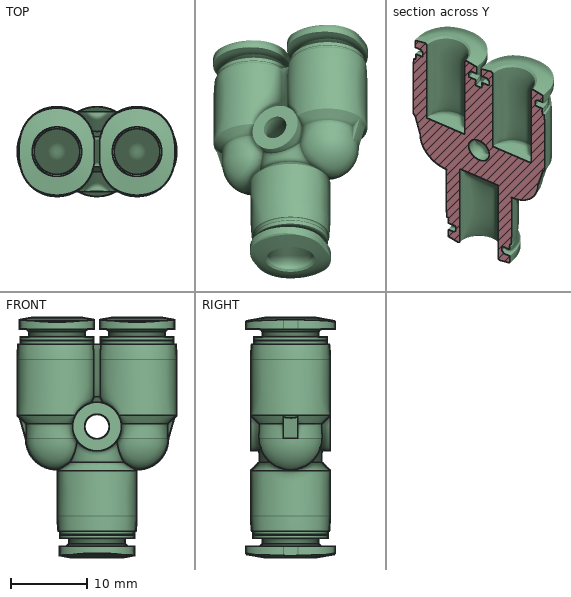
import cadquery as cq
import math

height = 31.6
overall_width = 21.0
body_diameter = 10.5
body_radius = body_diameter / 2
port_offset = (overall_width - body_diameter) / 2

bore_diameter = 6.0
bore_depth = 12.65
bore_chamfer = 0.25
collar_width = 9.85
collar_length = 11.8
collar_back = 1.55
collar_face_drop = 0.45
rim_chamfer = 0.2
neck_diameter = 7.4
neck_radius = neck_diameter / 2
neck_flare = 0.32
neck_end = 2.55

upper_ring_diameter = 9.67
lower_ring_diameter = 9.85
ring_groove_start = 3.0
ring_groove_end = 3.1
ring_groove_depth = 0.1
barrel_start = 3.5
barrel_crown_end = 5.53
barrel_end_radius = 5.12
upper_barrel_end = 12.9

stem_radius = 4.15
shoulder = body_radius - stem_radius
dome_centre_z = 15.7
lower_barrel_end = 11.47

boss_diameter = 6.4
boss_length = body_diameter
hole_diameter = 3.2
boss_z = 17.25

web_thickness = 3.92
web_flare = 0.85
web_flare_top = 21.13
rib_width = 1.95
rib_top_x = 10.27
rib_top_z = 18.7


def collar():
    """Oval collar with a conical face, chamfered rim ends and a flared neck, mouth at z = 0."""
    oval = (
        cq.Workplane("XY")
        .slot2D(collar_length, collar_width, 90)
        .extrude(collar_back)
    )
    half_length = collar_length / 2
    face = (
        cq.Workplane("XZ")
        .polyline([
            (0, 0),
            (bore_diameter / 2 + bore_chamfer, 0),
            (half_length - rim_chamfer, collar_face_drop),
            (half_length, collar_face_drop + rim_chamfer),
            (half_length, collar_back),
            (0, collar_back),
        ])
        .close()
        .revolve(360, (0, 0), (0, 1))
    )
    neck = (
        cq.Workplane("XZ")
        .moveTo(0, collar_back)
        .lineTo(neck_radius + neck_flare, collar_back)
        .lineTo(neck_radius, collar_back + neck_flare)
        .lineTo(neck_radius, neck_end)
        .lineTo(0, neck_end)
        .close()
        .revolve(360, (0, 0), (0, 1))
    )
    return oval.intersect(face).union(neck)


def barrel(ring_diameter, barrel_end):
    """Grooved ring, crowned barrel and 45 degree shoulder down to the stem radius."""
    ring_radius = ring_diameter / 2
    groove_radius = ring_radius - ring_groove_depth
    crown_length = barrel_crown_end - barrel_start
    crown_drop = body_radius - barrel_end_radius
    crown_radius = (crown_length**2 + crown_drop**2) / (2 * crown_drop)
    half_length = crown_length / 2
    mid_radius = body_radius - crown_radius + math.sqrt(crown_radius**2 - half_length**2)
    return (
        cq.Workplane("XZ")
        .moveTo(0, neck_end)
        .lineTo(ring_radius, neck_end)
        .lineTo(ring_radius, ring_groove_start)
        .lineTo(groove_radius, ring_groove_start)
        .lineTo(groove_radius, ring_groove_end)
        .lineTo(ring_radius, ring_groove_end)
        .lineTo(ring_radius, barrel_start)
        .lineTo(barrel_end_radius, barrel_start)
        .threePointArc((mid_radius, barrel_start + half_length), (body_radius, barrel_crown_end))
        .lineTo(body_radius, barrel_end)
        .lineTo(stem_radius, barrel_end + shoulder)
        .lineTo(0, barrel_end + shoulder)
        .close()
        .revolve(360, (0, 0), (0, 1))
    )


def bore():
    """Blind tube bore with a chamfered mouth."""
    bore_radius = bore_diameter / 2
    return (
        cq.Workplane("XZ")
        .polyline([
            (0, 0),
            (bore_radius + bore_chamfer, 0),
            (bore_radius, bore_chamfer),
            (bore_radius, bore_depth),
            (0, bore_depth),
        ])
        .close()
        .revolve(360, (0, 0), (0, 1))
    )


def at_upper_port(shape, side):
    """Turn a port feature mouth up and move it onto the left (-1) or right (+1) axis."""
    return shape.rotate((0, 0, 0), (1, 0, 0), 180).translate((side * port_offset, 0, height))


def domed_stem():
    """Cylinder under an upper barrel, closed by a hemisphere."""
    stem_top = height - upper_barrel_end - shoulder
    cylinder = (
        cq.Workplane("XY", origin=(0, 0, dome_centre_z))
        .circle(stem_radius)
        .extrude(stem_top - dome_centre_z)
    )
    ball = cq.Workplane("XY").sphere(stem_radius).translate((0, 0, dome_centre_z))
    return cylinder.union(ball)


def web():
    """Flat web joining the upper barrels, flared at 45 degrees where it meets the boss."""
    half = web_thickness / 2
    wide = half + web_flare
    top = height - barrel_start
    flare_bottom = web_flare_top - web_flare
    return (
        cq.Workplane("YZ")
        .polyline([
            (-wide, boss_z),
            (wide, boss_z),
            (wide, flare_bottom),
            (half, web_flare_top),
            (half, top),
            (-half, top),
            (-half, web_flare_top),
            (-wide, flare_bottom),
        ])
        .close()
        .extrude(port_offset / 2, both=True)
    )


def ribs():
    """Tapered ribs on the outer sides, reaching from the shoulder to the dome."""
    dome_x = port_offset + stem_radius
    half_profile = [(0, rib_top_z), (rib_top_x, rib_top_z), (dome_x, dome_centre_z), (0, dome_centre_z)]
    right = cq.Workplane("XZ").polyline(half_profile).close().extrude(rib_width / 2, both=True)
    return right.union(right.mirror("YZ"))


result = collar().union(barrel(lower_ring_diameter, lower_barrel_end))
stem = cq.Workplane("XY", origin=(0, 0, lower_barrel_end)).circle(stem_radius)
result = result.union(stem.extrude(boss_z - lower_barrel_end))

upper_port = collar().union(barrel(upper_ring_diameter, upper_barrel_end))
for side in (-1, 1):
    result = result.union(at_upper_port(upper_port, side))
    result = result.union(domed_stem().translate((side * port_offset, 0, 0)))

boss = cq.Workplane("XZ", origin=(0, 0, boss_z)).circle(boss_diameter / 2)
result = result.union(web()).union(ribs()).union(boss.extrude(boss_length / 2, both=True))

result = result.cut(bore())
for side in (-1, 1):
    result = result.cut(at_upper_port(bore(), side))
hole = cq.Workplane("XZ", origin=(0, 0, boss_z)).circle(hole_diameter / 2)
result = result.cut(hole.extrude(boss_length / 2, both=True))